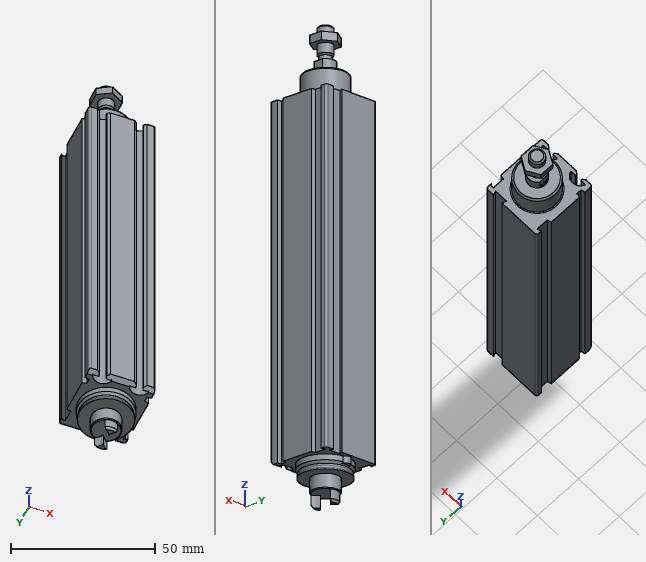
import cadquery as cq
import math

total_height = 177.5

housing_bottom = 15.5
housing_top = 150.0
housing_width = 25.0
half_width = housing_width / 2
back_y = 12.5
front_y = -14.5
corner_radius = 0.9
front_bottom_chamfer = 1.6

side_slot_depth = 1.6
upper_slot_low, upper_slot_high = 5.7, 10.5
lower_slot_low, lower_slot_high = -11.0, -8.3
slot_wall_taper = 0.4
lip_drop = 0.5
lip_thickness = 0.7

front_slot_x = 7.0
front_slot_mouth = 2.7
front_slot_width = 7.0
front_slot_top = -10.5
front_slot_spring = -12.6
front_slot_lip = 1.5
mouth_chamfer_width = 1.0
mouth_chamfer_depth = 0.7

back_slot_x = 6.7
back_slot_mouth = 4.3
back_slot_floor = 5.3
back_slot_depth = 1.6

collar_diameter = 17.5
collar_top = 159.5
collar_chamfer = 0.7
seat_diameter = 18.6
seat_depth = 3.5

rod_diameter = 8.0
across_rod_flats = 7.0
flats_bottom = 160.6
shoulder_z = 164.4
neck_diameter = 4.8
stud_diameter = 6.0
stud_bottom = 167.0
stud_chamfer = 0.7
neck_taper = (stud_diameter - neck_diameter) / 2

nut_sides = 6
nut_across_flats = 10.0
nut_thickness = 3.2
nut_bottom = 170.8

cap_diameter = 20.8
cap_rim_bottom = 13.3
groove_diameter = 19.3
groove_top = 12.2
groove_bottom = 11.5
cap_foot_diameter = 19.9
cap_foot_top = 10.6
cap_bottom = 10.1

pin_diameter = 3.9
pin_y = 9.5
pin_bottom = 12.8
pin_socket_depth = 1.8

hub_diameter = 11.0
hub_bottom = 4.6
hub_chamfer = 0.4
claw_diameter = 10.5
claw_width = 4.8
claw_inner_y = 2.3
claw_tip_inset = 0.5
claw_tip_height = 1.0


def cylinder(diameter, bottom, top, x=0, y=0):
    """Upright cylinder between two heights."""
    base = cq.Workplane("XY", origin=(x, y, bottom))
    return base.circle(diameter / 2).extrude(top - bottom)


def turned(points):
    """Solid of revolution about Z from (radius, height) points."""
    return cq.Workplane("XZ").polyline(points).close().revolve(360, (0, 0), (0, 1))


def prism(outline):
    """Housing-length prism of a closed XY outline."""
    return outline.extrude(housing_top - housing_bottom)


def housing_plane():
    return cq.Workplane("XY", origin=(0, 0, housing_bottom))


def side_slots(side):
    """The two slots of one side, with walls that open outwards.

    The upper one also has a lip that narrows its mouth.
    """
    outer = side * half_width
    floor = side * (half_width - side_slot_depth)
    lip_inner = side * (half_width - lip_thickness)
    upper = housing_plane().polyline([
        (outer, upper_slot_low - slot_wall_taper),
        (floor, upper_slot_low),
        (floor, upper_slot_high),
        (lip_inner, upper_slot_high),
        (outer, upper_slot_high - lip_drop),
    ]).close()
    lower = housing_plane().polyline([
        (outer, lower_slot_low),
        (floor, lower_slot_low + slot_wall_taper),
        (floor, lower_slot_high - slot_wall_taper),
        (outer, lower_slot_high),
    ]).close()
    return prism(upper).union(prism(lower))


def front_slot(x):
    """Undercut slot with an arched roof and a chamfered mouth."""
    mouth = front_slot_mouth / 2
    flare = mouth + mouth_chamfer_width
    cavity = front_slot_width / 2
    lip_y = front_y + front_slot_lip
    chamfer_y = front_y + mouth_chamfer_depth
    outline = (
        housing_plane()
        .moveTo(x - flare, front_y)
        .lineTo(x - mouth, chamfer_y)
        .lineTo(x - mouth, lip_y)
        .lineTo(x - cavity, lip_y)
        .lineTo(x - cavity, front_slot_spring)
        .threePointArc((x, front_slot_top), (x + cavity, front_slot_spring))
        .lineTo(x + cavity, lip_y)
        .lineTo(x + mouth, lip_y)
        .lineTo(x + mouth, chamfer_y)
        .lineTo(x + flare, front_y)
        .close()
    )
    return prism(outline)


def back_slot():
    """Dovetail slot in the back face."""
    floor_y = back_y - back_slot_depth
    outline = housing_plane().polyline([
        (back_slot_x - back_slot_mouth / 2, back_y),
        (back_slot_x - back_slot_floor / 2, floor_y),
        (back_slot_x + back_slot_floor / 2, floor_y),
        (back_slot_x + back_slot_mouth / 2, back_y),
    ]).close()
    return prism(outline)


def front_bottom_wedge():
    """Wedge along X that bevels the lower front edge."""
    outline = cq.Workplane("YZ", origin=(-half_width, 0, 0)).polyline([
        (front_y, housing_bottom),
        (front_y + front_bottom_chamfer, housing_bottom),
        (front_y, housing_bottom + front_bottom_chamfer),
    ]).close()
    return outline.extrude(housing_width)


def make_housing():
    block = prism(
        housing_plane()
        .center(0, (back_y + front_y) / 2)
        .rect(housing_width, back_y - front_y)
    )
    block = block.edges("|Z").fillet(corner_radius)
    block = block.cut(front_bottom_wedge())
    for side in (-1, 1):
        block = block.cut(side_slots(side))
        block = block.cut(front_slot(side * front_slot_x))
    block = block.cut(back_slot())
    block = block.cut(cylinder(seat_diameter, housing_top - seat_depth, housing_top))
    pin_socket_top = housing_bottom + pin_socket_depth
    return block.cut(cylinder(pin_diameter, housing_bottom, pin_socket_top, y=pin_y))


def make_collar():
    seat = cylinder(seat_diameter, housing_top - seat_depth, housing_top)
    sleeve = cylinder(collar_diameter, housing_top, collar_top)
    sleeve = sleeve.faces(">Z").chamfer(collar_chamfer)
    bore = cylinder(rod_diameter, housing_top - seat_depth, collar_top)
    return seat.union(sleeve).cut(bore)


def make_rod():
    rod = turned([
        (0, housing_top - seat_depth),
        (rod_diameter / 2, housing_top - seat_depth),
        (rod_diameter / 2, shoulder_z),
        (neck_diameter / 2, shoulder_z),
        (neck_diameter / 2, stud_bottom - neck_taper),
        (stud_diameter / 2, stud_bottom),
        (stud_diameter / 2, total_height - stud_chamfer),
        (stud_diameter / 2 - stud_chamfer, total_height),
        (0, total_height),
    ])
    flats_height = shoulder_z - flats_bottom
    for side in (-1, 1):
        waste = cq.Workplane("XY").box(rod_diameter, rod_diameter, flats_height)
        waste_x = side * (across_rod_flats + rod_diameter) / 2
        rod = rod.cut(waste.translate((waste_x, 0, flats_bottom + flats_height / 2)))
    return rod


def make_nut():
    """Hexagon nut with two corners on the Y axis."""
    half_sector = 180 / nut_sides
    across_corners = nut_across_flats / math.cos(math.radians(half_sector))
    nut = (
        cq.Workplane("XY", origin=(0, 0, nut_bottom))
        .polygon(nut_sides, across_corners)
        .extrude(nut_thickness)
        .rotate((0, 0, 0), (0, 0, 1), half_sector)
    )
    return nut.cut(cylinder(stud_diameter, nut_bottom, nut_bottom + nut_thickness))


def make_cap():
    cap = turned([
        (0, housing_bottom),
        (cap_diameter / 2, housing_bottom),
        (cap_diameter / 2, cap_rim_bottom),
        (groove_diameter / 2, groove_top),
        (groove_diameter / 2, groove_bottom),
        (cap_foot_diameter / 2, cap_foot_top),
        (cap_foot_diameter / 2, cap_bottom),
        (0, cap_bottom),
    ])
    return cap.cut(cylinder(pin_diameter, pin_bottom, housing_bottom, y=pin_y))


def make_pin():
    return cylinder(pin_diameter, pin_bottom, housing_bottom + pin_socket_depth, y=pin_y)


def make_hub():
    """Hub whose two claws are left standing between two round side cuts."""
    body = cylinder(hub_diameter, hub_bottom, cap_bottom).faces("<Z").chamfer(hub_chamfer)
    claws = turned([
        (0, 0),
        (claw_diameter / 2 - claw_tip_inset, 0),
        (claw_diameter / 2, claw_tip_height),
        (claw_diameter / 2, hub_bottom),
        (0, hub_bottom),
    ])
    corner_x = claw_width / 2
    corner_y = math.sqrt((claw_diameter / 2) ** 2 - corner_x ** 2)
    cut_x = (corner_x ** 2 + corner_y ** 2 - claw_inner_y ** 2) / (2 * corner_x)
    cut_radius = math.hypot(cut_x, claw_inner_y)
    for side in (-1, 1):
        claws = claws.cut(cylinder(2 * cut_radius, 0, hub_bottom, x=side * cut_x))
    return body.union(claws)


housing = make_housing()
collar = make_collar()
rod = make_rod()
nut = make_nut()
cap = make_cap()
pin = make_pin()
hub = make_hub()

result = cq.Compound.makeCompound([
    housing.val(),
    collar.val(),
    rod.val(),
    nut.val(),
    cap.val(),
    pin.val(),
    hub.val(),
])